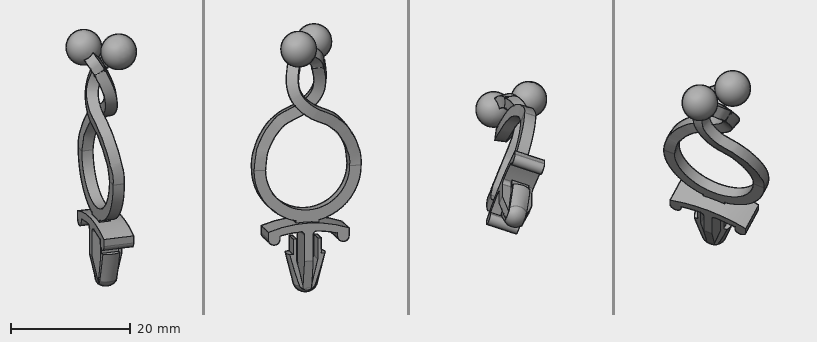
import cadquery as cq
import math

ring_outer_radius = 9.25
section = 2.0
ring_radius = ring_outer_radius - section / 2

ball_radius = 3.0
ball_span_y = 10.9
ball_x = 1.9
ball_y = ball_span_y / 2 - ball_radius
ball_z = 20.9

arm_centerline = [
    (7.75, -0.27, 3.15),
    (6.3, -0.75, 5.95),
    (3.75, -1.15, 8.35),
    (1.05, -1.32, 9.6),
    (-0.6, -1.3, 10.7),
    (-2.05, -1.0, 12.55),
    (-2.45, -0.27, 15.1),
    (-1.82, 0.85, 17.8),
]
arm_end_direction = (1, 0.2, 0.5)

foot_y = 0.78
foot_width = 5.3
foot_half_length = 7.0
foot_thickness = 1.4
foot_top_z = -9.3
foot_end_z = -10.55
foot_inner_end_z = -11.3
hook_width = 2.0
hook_center_z = -11.8
neck_width = 3.95
neck_height = 0.75

stem_thickness = 1.5
stem_tip_width = 3.0
stem_taper_z = -15.88
stem_tip_z = -20.8
stem_fillet = 0.65

barb_radius = 3.38
barb_top_z = -14.85
dome_radius = 2.0
dome_z = -20.35
tip_z = -21.7
tongue_outer_x = 2.4
tongue_inner_x = 1.82
tongue_top_z = -12.23
slot_bottom_z = -20.25


def make_lower_ring():
    return (
        cq.Workplane("XY")
        .center(-ring_radius, 0)
        .rect(section, section)
        .revolve(180, (ring_radius, 0.45), (ring_radius, 0))
    )


def make_arm():
    """Arm from the +X side of the ring, crossing over at -Y and curling back to the +Y ball."""
    ball_center = (ball_x, ball_y, ball_z)
    path = cq.Workplane("XY").spline(
        [(ring_radius, 0, 0)] + arm_centerline + [ball_center],
        tangents=[(0, 0, 1), arm_end_direction],
    )
    return cq.Workplane("XY").center(ring_radius, 0).rect(section, section).sweep(path)


def make_ball():
    return cq.Workplane("XY").sphere(ball_radius).translate((ball_x, ball_y, ball_z))


def extrude_centered(profile, width):
    """Extrude an XZ profile symmetrically about the mid-plane of the foot."""
    return profile.extrude(width / 2, both=True).translate((0, foot_y, 0))


def make_foot():
    inner_x = foot_half_length - hook_width
    hook_bottom = hook_center_z - hook_width / 2
    hook_x = foot_half_length - hook_width / 2
    profile = (
        cq.Workplane("XZ")
        .moveTo(-foot_half_length, foot_end_z)
        .threePointArc((0, foot_top_z), (foot_half_length, foot_end_z))
        .lineTo(foot_half_length, hook_center_z)
        .threePointArc((hook_x, hook_bottom), (inner_x, hook_center_z))
        .lineTo(inner_x, foot_inner_end_z)
        .threePointArc((0, foot_top_z - foot_thickness), (-inner_x, foot_inner_end_z))
        .lineTo(-inner_x, hook_center_z)
        .threePointArc((-hook_x, hook_bottom), (-foot_half_length, hook_center_z))
        .close()
    )
    return extrude_centered(profile, foot_width)


def make_neck():
    return cq.Workplane("XY").box(neck_width, section, neck_height).translate((0, 0, foot_top_z))


def make_stem():
    top_z = foot_top_z - foot_thickness / 2
    return (
        cq.Workplane("YZ")
        .polyline(
            [
                (-foot_width / 2, top_z),
                (foot_width / 2, top_z),
                (foot_width / 2, stem_taper_z),
                (stem_tip_width / 2, stem_tip_z),
                (-stem_tip_width / 2, stem_tip_z),
                (-foot_width / 2, stem_taper_z),
            ]
        )
        .close()
        .extrude(stem_thickness / 2, both=True)
        .translate((0, foot_y, 0))
    )


def make_barbs():
    sphere_radius = (dome_radius**2 + (dome_z - tip_z) ** 2) / (2 * (dome_z - tip_z))
    arc_x = dome_radius / 2
    arc_z = tip_z + sphere_radius - math.sqrt(sphere_radius**2 - arc_x**2)
    body = (
        cq.Workplane("XZ")
        .moveTo(0, tongue_top_z)
        .lineTo(barb_radius, tongue_top_z)
        .lineTo(barb_radius, barb_top_z)
        .lineTo(dome_radius, dome_z)
        .threePointArc((arc_x, arc_z), (0, tip_z))
        .close()
        .revolve(360, (0, 0), (0, 1))
        .translate((0, foot_y, 0))
    )
    half_stem = stem_thickness / 2
    right_side = [
        (half_stem, slot_bottom_z),
        (tongue_inner_x, stem_taper_z),
        (tongue_inner_x, tongue_top_z),
        (tongue_outer_x, tongue_top_z),
        (tongue_outer_x, barb_top_z),
        (barb_radius, barb_top_z),
        (barb_radius, tip_z),
    ]
    left_side = [(-x, z) for x, z in reversed(right_side)]
    slice_profile = cq.Workplane("XZ").polyline(right_side + left_side).close()
    return body.intersect(extrude_centered(slice_profile, stem_tip_width))


foot = make_foot().union(make_stem())
stem_root_z = foot_top_z - foot_thickness
stem_root = cq.selectors.BoxSelector(
    (-stem_thickness, foot_y - foot_width, stem_root_z - stem_fillet),
    (stem_thickness, foot_y + foot_width, stem_root_z + stem_fillet),
)
foot = foot.edges("|Y").edges(stem_root).fillet(stem_fillet)

arm = make_arm().union(make_ball())
opposite_arm = arm.rotate((0, 0, 0), (0, 0, 1), 180)

result = (
    make_lower_ring()
    .union(arm)
    .union(opposite_arm)
    .union(make_neck())
    .union(foot)
    .union(make_barbs())
)